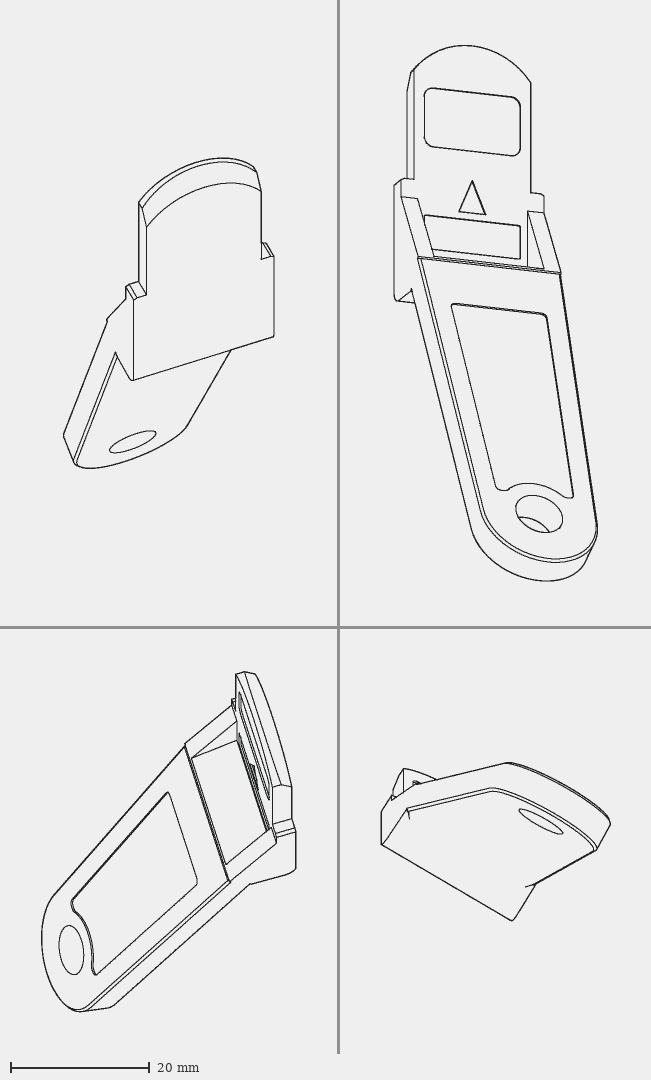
import cadquery as cq
import math

height = 89.2
back_x = 34.15
width = 22.0
half_width = width / 2

arm_angle = math.radians(25)
arm_thickness = 4.8
arm_end_radius = 9.0
arm_length = 48.4
arm_edge_chamfer = 0.4
hole_radius = 3.6

tongue_thickness = 2.9
tongue_half_width = 9.0
tongue_crown = 4.6
bevel_start_x = 32.0
bevel_drop = 2.4
bevel_start_crown = 3.8

shoulder_z = 67.95
ramp_top_z = 65.1
block_bottom_z = 49.7
block_corner_radius = 2.0
shoulder_chamfer_height = 0.3
shoulder_chamfer_width = 0.5
underside_fillet = 1.3
pocket_half_width = 8.5
pocket_front_z = 54.2
pocket_back_z = 56.45

recess_depth = 0.3
panel_half_width = 7.4
arm_panel_bottom_half_width = 6.0
arm_panel_top = 39.95
arm_panel_bottom = 3.8
arm_panel_arc_radius = 5.9
arm_panel_corner_radius = 0.8
upper_panel_z = (73.2, 82.1)
upper_panel_radius = 1.4
lower_panel_z = (57.7, 62.8)
lower_panel_radius = 0.3
arrow_z = (63.85, 68.75)
arrow_half_width = 2.05

sin_a = math.sin(arm_angle)
cos_a = math.cos(arm_angle)
front_x = back_x - tongue_thickness

chamfer_setback = arm_edge_chamfer * sin_a
hole_x = arm_end_radius * sin_a - chamfer_setback
hole_z = arm_thickness * sin_a + arm_end_radius * cos_a - chamfer_setback
apex_x = hole_x + arm_length * sin_a
apex_z = hole_z + arm_length * cos_a

inner_x = (hole_x + arm_thickness * cos_a
           + (block_bottom_z - hole_z + arm_thickness * sin_a) * math.tan(arm_angle))

arm_plane = cq.Plane(origin=(hole_x, 0, hole_z), xDir=(0, 1, 0), normal=(cos_a, 0, -sin_a))


def upright_plane(x):
    """Sketch plane facing +X: local X is +Y, local Y is +Z."""
    return cq.Workplane(cq.Plane(origin=(x, 0, 0), xDir=(0, 1, 0), normal=(1, 0, 0)))


def arm_outline(straight_length):
    """Tapered, round-ended plan, continued at full width above the taper."""
    tangent_angle = math.atan2(arm_length, half_width) - math.acos(
        arm_end_radius / math.hypot(arm_length, half_width))
    tangent_x = arm_end_radius * math.cos(tangent_angle)
    tangent_y = arm_end_radius * math.sin(tangent_angle)
    top = arm_length + straight_length
    plan = cq.Workplane(arm_plane).moveTo(tangent_x, tangent_y).lineTo(half_width, arm_length)
    if straight_length > 0:
        plan = plan.lineTo(half_width, top).lineTo(-half_width, top)
    plan = plan.lineTo(-half_width, arm_length).lineTo(-tangent_x, tangent_y)
    return plan.threePointArc((0, -arm_end_radius), (tangent_x, tangent_y)).close()


def make_arm():
    arm = arm_outline(0).extrude(arm_thickness)
    broad_faces = cq.selectors.ParallelDirSelector(arm_plane.zDir)
    return arm.faces(broad_faces).edges().chamfer(arm_edge_chamfer)


def make_block():
    profile = [
        (apex_x, apex_z),
        (front_x, ramp_top_z),
        (front_x, shoulder_z),
        (back_x, shoulder_z),
        (back_x, block_bottom_z),
        (inner_x, block_bottom_z),
    ]
    block = cq.Workplane("XZ").polyline(profile).close().extrude(half_width, both=True)
    block = block.edges("|Y and >X and <Z").fillet(block_corner_radius)
    shoulder_slope = [
        (half_width, shoulder_z - shoulder_chamfer_height),
        (half_width, shoulder_z),
        (half_width - shoulder_chamfer_width, shoulder_z),
    ]
    wedge = upright_plane(front_x).polyline(shoulder_slope).close().extrude(tongue_thickness)
    block = block.cut(wedge).cut(wedge.mirror("XZ"))
    return block.intersect(arm_outline(height).extrude(height))


def tongue_outline(x, top_z, crown):
    corner_z = top_z - crown
    return (upright_plane(x).moveTo(-tongue_half_width, ramp_top_z)
            .lineTo(-tongue_half_width, corner_z)
            .threePointArc((0, top_z), (tongue_half_width, corner_z))
            .lineTo(tongue_half_width, ramp_top_z).close())


def make_tongue():
    """Round-topped plate whose back top edge is bevelled by a ruled surface."""
    plate = tongue_outline(front_x, height, tongue_crown).extrude(tongue_thickness)
    bevel_run = back_x - bevel_start_x
    forward = (bevel_start_x - front_x) / bevel_run
    front_top = height + bevel_drop * forward
    front_crown = bevel_start_crown - (tongue_crown - bevel_start_crown) * forward
    front_wire = tongue_outline(front_x, front_top, front_crown).val()
    back_wire = tongue_outline(back_x, height - bevel_drop, tongue_crown).val()
    bevelled = cq.Solid.makeLoft([front_wire, back_wire], True)
    return plate.intersect(cq.Workplane(bevelled))


def make_pocket():
    """Pocket between the two side ramps, with a sloping floor."""
    profile = [
        (apex_x, pocket_front_z),
        (front_x, pocket_back_z),
        (front_x, shoulder_z),
        (apex_x, shoulder_z),
    ]
    return cq.Workplane("XZ").polyline(profile).close().extrude(pocket_half_width, both=True)


def make_arm_panel():
    """Tapered recess whose lower edge arches around the hole."""
    panel = (cq.Workplane(arm_plane)
             .moveTo(-arm_panel_bottom_half_width, arm_panel_bottom)
             .lineTo(-panel_half_width, arm_panel_top)
             .lineTo(panel_half_width, arm_panel_top)
             .lineTo(arm_panel_bottom_half_width, arm_panel_bottom)
             .close().extrude(recess_depth))
    arch = cq.Workplane(arm_plane).circle(arm_panel_arc_radius).extrude(recess_depth)
    across = cq.selectors.ParallelDirSelector(arm_plane.zDir)
    return panel.cut(arch).edges(across).fillet(arm_panel_corner_radius)


def make_tongue_panel(z_range, corner_radius):
    bottom, top = z_range
    panel = upright_plane(front_x).center(0, (bottom + top) / 2).rect(2 * panel_half_width, top - bottom)
    return panel.extrude(recess_depth).edges("|X").fillet(corner_radius)


def make_arrow():
    bottom, top = arrow_z
    corners = [(-arrow_half_width, bottom), (arrow_half_width, bottom), (0, top)]
    return upright_plane(front_x).polyline(corners).close().extrude(recess_depth)


hole = cq.Workplane(arm_plane).circle(hole_radius).extrude(arm_thickness)

result = make_arm().union(make_block())
inner_corner = cq.selectors.NearestToPointSelector((inner_x, 0, block_bottom_z))
result = result.edges("|Y").edges(inner_corner).fillet(underside_fillet)
result = result.union(make_tongue())
result = result.cut(make_pocket()).cut(hole).cut(make_arm_panel())
result = result.cut(make_tongue_panel(upper_panel_z, upper_panel_radius))
result = result.cut(make_tongue_panel(lower_panel_z, lower_panel_radius))
result = result.cut(make_arrow())